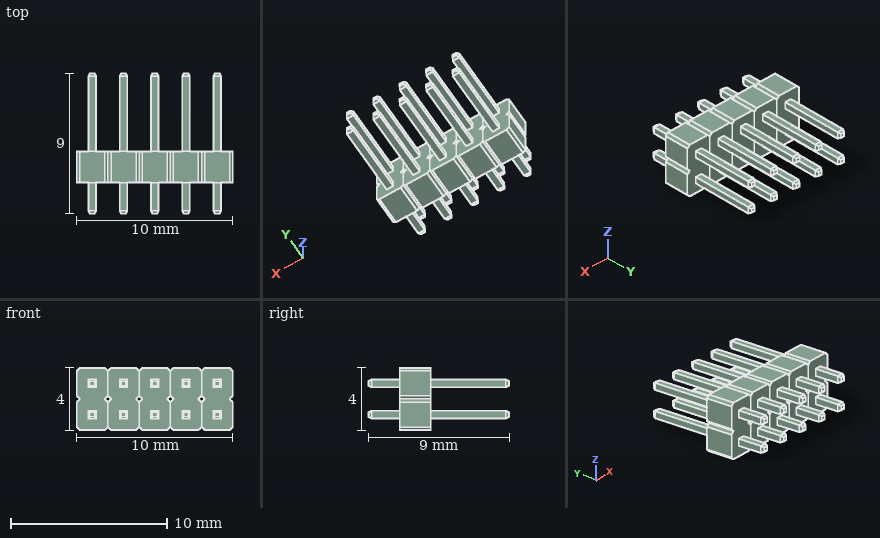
import cadquery as cq

pitch = 2.0
column_count = 5
row_count = 2

block_depth = pitch
corner_chamfer = 0.2

pin_width = 0.5
front_pin_length = 2.0
rear_pin_length = 5.0
tip_length = 0.2
tip_inset = 0.1

block_front_y = -block_depth / 2
block_rear_y = block_depth / 2
pin_front_y = block_front_y - front_pin_length
pin_rear_y = block_rear_y + rear_pin_length


def grid_position(index, count):
    """Centre of one grid place, with the whole row centred on the origin."""
    return (index - (count - 1) / 2) * pitch


def make_block(x, z):
    """Square insulator block with its four edges along Y chamfered."""
    return (
        cq.Workplane("XY")
        .box(pitch, block_depth, pitch)
        .edges("|Y")
        .chamfer(corner_chamfer)
        .translate((x, 0, z))
    )


def make_pin(x, z):
    """Square pin along Y with a tapered tip at both ends."""
    tip_width = pin_width - 2 * tip_inset
    shaft_front_y = pin_front_y + tip_length
    shaft_rear_y = pin_rear_y - tip_length

    shaft = (
        cq.Workplane("XZ", origin=(x, shaft_rear_y, z))
        .rect(pin_width, pin_width)
        .extrude(shaft_rear_y - shaft_front_y)
    )
    front_tip = (
        cq.Workplane("XZ", origin=(x, shaft_front_y, z))
        .rect(pin_width, pin_width)
        .workplane(offset=tip_length)
        .rect(tip_width, tip_width)
        .loft()
    )
    rear_tip = (
        cq.Workplane("XZ", origin=(x, pin_rear_y, z))
        .rect(tip_width, tip_width)
        .workplane(offset=tip_length)
        .rect(pin_width, pin_width)
        .loft()
    )
    return shaft.union(front_tip).union(rear_tip)


def make_column(x):
    """One header column: stacked blocks joined with their pins into one solid."""
    column = cq.Workplane("XY")
    for row in range(row_count):
        z = grid_position(row, row_count)
        column = column.union(make_block(x, z)).union(make_pin(x, z))
    return column.solids()


columns = [make_column(grid_position(index, column_count)) for index in range(column_count)]

result = cq.Compound.makeCompound([column.val() for column in columns])